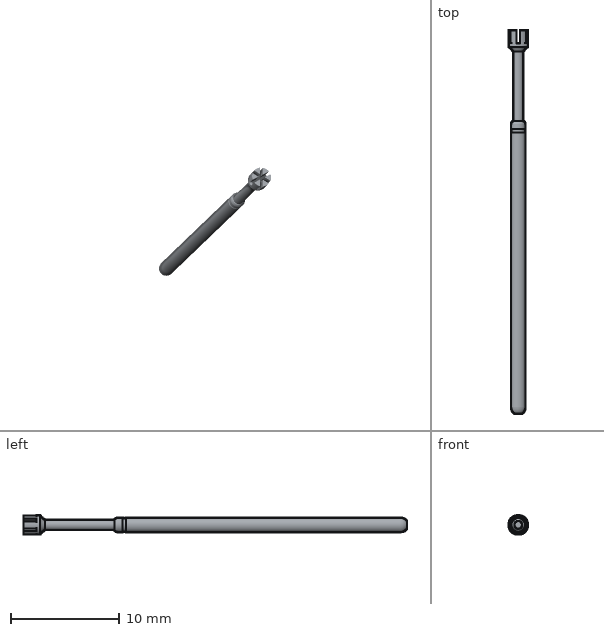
import cadquery as cq


TOTAL_LENGTH = 35.4
BARREL_LENGTH = 27.0
BARREL_RADIUS = 0.68
MOUTH_RADIUS = 0.54
MOUTH_ROLL_LENGTH = 0.3
MOUTH_ROLL_BULGE = 0.03
TAIL_LENGTH = 0.6
TAIL_FLAT_RADIUS = 0.36

CRIMP_CENTER = 0.9
CRIMP_WIDTH = 0.3
CRIMP_DEPTH = 0.05

SHAFT_RADIUS = 0.48
HEAD_RADIUS = 0.9
HEAD_LENGTH = 1.55
NECK_LENGTH = 0.45
NECK_HOLLOW = 0.05
SLOT_COUNT = 3
SLOT_WIDTH = 0.3
SLOT_CUTTER_LENGTH = 3 * HEAD_RADIUS
SLOT_DEPTH = 1.2

FULL_TURN = 360
HALF_TURN = 180

TAIL_END = -BARREL_LENGTH
HEAD_END = TOTAL_LENGTH - BARREL_LENGTH
HEAD_BASE = HEAD_END - HEAD_LENGTH
NECK_BASE = HEAD_BASE - NECK_LENGTH


def revolve_profile(profile):
    """Revolve a closed XY half-profile a full turn around the Y axis."""
    return profile.close().revolve(FULL_TURN, (0, 0, 0), (0, 1, 0))


def bulged_middle(start_radius, start_y, end_radius, end_y, bulge):
    """Middle of an arc whose midpoint lies radially `bulge` outside its chord."""
    return (start_radius + end_radius) / 2 + bulge, (start_y + end_y) / 2


def make_barrel():
    """Closed barrel, modelled solid, with a rounded tail, a rolled-in mouth and a crimp groove."""
    crimp_start = -CRIMP_CENTER - CRIMP_WIDTH / 2
    crimp_end = -CRIMP_CENTER + CRIMP_WIDTH / 2
    roll_middle = bulged_middle(MOUTH_RADIUS, 0, BARREL_RADIUS, -MOUTH_ROLL_LENGTH, MOUTH_ROLL_BULGE)
    tail_start = TAIL_END + TAIL_LENGTH
    profile = (
        cq.Workplane("XY")
        .moveTo(0, 0)
        .lineTo(MOUTH_RADIUS, 0)
        .threePointArc(roll_middle, (BARREL_RADIUS, -MOUTH_ROLL_LENGTH))
        .lineTo(BARREL_RADIUS, crimp_end)
        .threePointArc((BARREL_RADIUS - CRIMP_DEPTH, -CRIMP_CENTER), (BARREL_RADIUS, crimp_start))
        .lineTo(BARREL_RADIUS, tail_start)
        .tangentArcPoint((TAIL_FLAT_RADIUS, TAIL_END), relative=False)
        .lineTo(0, TAIL_END)
    )
    return revolve_profile(profile)


def make_plunger():
    """Straight shaft flaring through a hollow-sided neck into the cylindrical head."""
    seat_y = -CRIMP_CENTER
    neck_middle = bulged_middle(SHAFT_RADIUS, NECK_BASE, HEAD_RADIUS, HEAD_BASE, -NECK_HOLLOW)
    profile = (
        cq.Workplane("XY")
        .moveTo(0, seat_y)
        .lineTo(SHAFT_RADIUS, seat_y)
        .lineTo(SHAFT_RADIUS, NECK_BASE)
        .threePointArc(neck_middle, (HEAD_RADIUS, HEAD_BASE))
        .lineTo(HEAD_RADIUS, HEAD_END)
        .lineTo(0, HEAD_END)
    )
    return revolve_profile(profile)


def cut_crown_slots(body):
    """Cut evenly turned slots across the head; the first one runs along Z."""
    slot = cq.Workplane("XY").box(SLOT_WIDTH, SLOT_DEPTH, SLOT_CUTTER_LENGTH)
    slot = slot.translate((0, HEAD_END - SLOT_DEPTH / 2, 0))
    for index in range(SLOT_COUNT):
        angle = index * HALF_TURN / SLOT_COUNT
        body = body.cut(slot.rotate((0, 0, 0), (0, 1, 0), angle))
    return body


result = cut_crown_slots(make_barrel().union(make_plunger()))